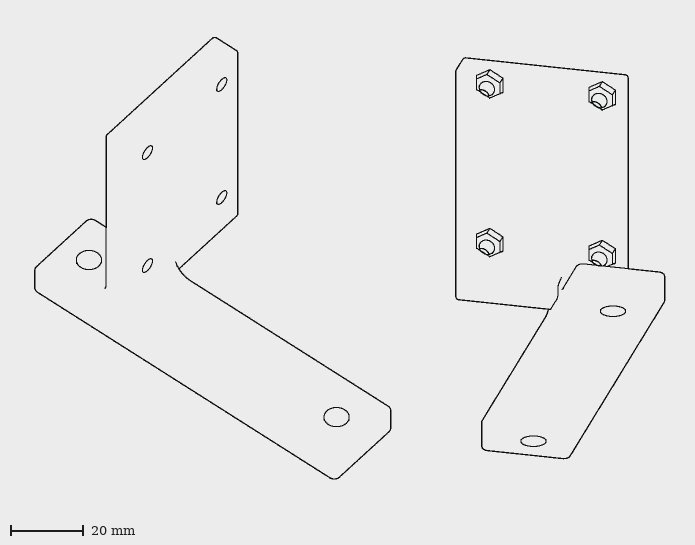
import cadquery as cq

base_length = 108.6
base_width = 25.2
base_height = 9.0
base_corner_radius = 2.0
base_hole_diameter = 7.0
base_hole_inset = 10.0

total_depth = 52.1
total_height = 78.0
plate_thickness = 9.0
plate_left = 21.9
plate_setback = 5.0

edge_radius = 1.0
blend_radius = 5.1

screw_diameter = 4.3
screw_spacing_y = 31.9
screw_spacing_z = 48.0
screw_drop = 7.5
nut_across_corners = 8.6
nut_depth = 3.3

plate_bottom = base_height - edge_radius
plate_width = total_depth - plate_setback
plate_height = total_height - plate_bottom

foot_top = base_height + 2 * blend_radius


def make_blended_base():
    """Rounded base bar carrying the foot of the plate and the blend around it."""
    slab_width = base_width + blend_radius
    slab = cq.Workplane("XY").box(base_length, slab_width, base_height, centered=False)
    slab = slab.translate((0, -blend_radius, 0))

    foot_width = base_width - plate_setback
    foot = cq.Workplane("XY").box(plate_thickness, foot_width, foot_top, centered=False)
    foot = foot.edges("|Z and <Y").fillet(edge_radius)
    foot = foot.translate((plate_left, plate_setback, 0))

    joint_start = (plate_left - edge_radius, plate_setback - edge_radius, base_height - edge_radius)
    joint_end_x = plate_left + plate_thickness + edge_radius
    joint_end = (joint_end_x, base_width - edge_radius, base_height + edge_radius)
    joint = cq.selectors.BoxSelector(joint_start, joint_end)
    body = slab.union(foot).edges(joint).fillet(blend_radius)

    outline = cq.Workplane("XY").box(base_length, base_width, foot_top, centered=False)
    outline = outline.edges("|Z").fillet(base_corner_radius)
    body = body.intersect(outline)
    body = body.faces("<Z").edges().fillet(edge_radius)
    rim_middle = (plate_left + plate_thickness + base_length) / 2
    upper_rim = cq.selectors.NearestToPointSelector((rim_middle, base_width, base_height))
    return body.edges(upper_rim).fillet(edge_radius)


def make_plate():
    """Upright plate with every edge rounded."""
    plate = cq.Workplane("XY").box(plate_thickness, plate_width, plate_height, centered=False)
    plate = plate.edges().fillet(edge_radius)
    return plate.translate((plate_left, plate_setback, plate_bottom))


def make_base_holes():
    """Vertical through holes near both ends of the bar."""
    centres = [(x, base_width / 2) for x in (base_hole_inset, base_length - base_hole_inset)]
    return cq.Workplane("XY").pushPoints(centres).circle(base_hole_diameter / 2).extrude(base_height)


def make_screw_holes():
    """Four screw holes through the plate, each opening into a nut pocket."""
    centre_y = plate_setback + plate_width / 2
    centre_z = total_height - screw_drop - screw_spacing_z / 2
    plate_face = cq.Workplane("YZ", origin=(plate_left, centre_y, centre_z))
    centres = plate_face.rarray(screw_spacing_y, screw_spacing_z, 2, 2)
    screws = centres.circle(screw_diameter / 2).extrude(plate_thickness)

    turned_plane = cq.Plane(origin=(plate_left, centre_y, centre_z), xDir=(0, 0, 1), normal=(1, 0, 0))
    pockets = cq.Workplane(turned_plane).rarray(screw_spacing_z, screw_spacing_y, 2, 2)
    pockets = pockets.polygon(6, nut_across_corners).extrude(nut_depth)
    return screws.union(pockets)


result = make_blended_base().union(make_plate())
result = result.cut(make_base_holes()).cut(make_screw_holes())